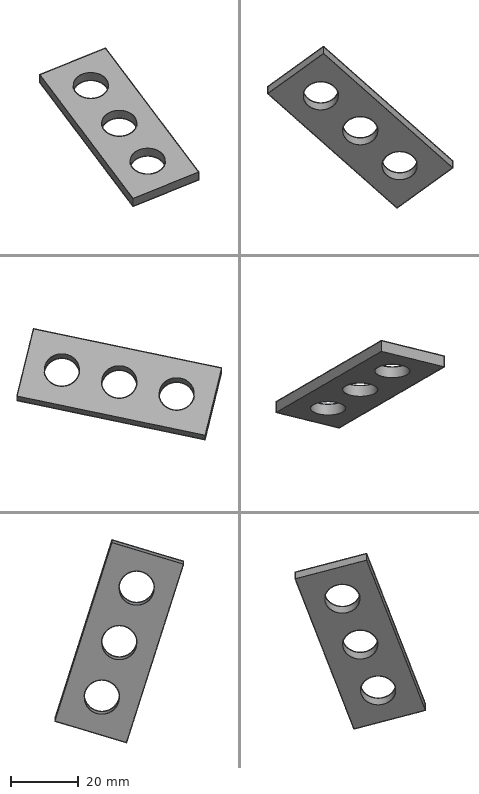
import cadquery as cq

length = 57.15
width = 22.25
thickness = 3.5

hole_diameter = 10.4
hole_spacing = 17.45
hole_count = 3

plate = cq.Workplane("XY").box(length, width, thickness)

result = (
    plate.faces(">Z")
    .workplane()
    .rarray(hole_spacing, width, hole_count, 1)
    .hole(hole_diameter)
)